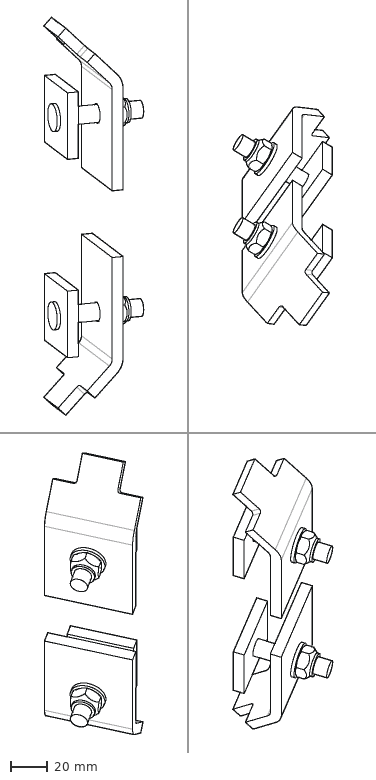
import cadquery as cq
import math

overall_height = 223.0
bolt_drop = 54.5
bolt_axis_z = overall_height / 2 - bolt_drop

bracket_width = 50.8
bracket_height = 92.3
sheet_thickness = 6.5
bend_angle = 45.0
bend_inner_radius = 5.5
arm_length = 36.0
tab_width = 23.6
tab_length = 17.5
tab_root_radius = 1.8
notch_overrun = 4.5
clearance_diameter = 11.0

plate_side = 38.3
plate_gap = 17.6
plate_back_y = -(sheet_thickness + plate_gap)
plate_front_y = plate_back_y - sheet_thickness

bolt_diameter = 10.0
bolt_end_y = 19.5
head_diameter = 15.5
head_height = 2.0

washer_diameter = 20.0
washer_thickness = 2.0
nut_across_flats = 16.0
hexagon_half_angle = 30.0
nut_across_corners = nut_across_flats / math.cos(math.radians(hexagon_half_angle))
nut_hex_height = 8.0
nut_cone_height = 3.0
nut_seat_bevel_angle = 30.0
collar_diameter = 13.5
collar_height = 1.3


def cylinder_along_y(diameter, start_y, end_y):
    """Round bar on the upper bolt axis, from start_y to end_y (start_y < end_y)."""
    base = cq.Workplane("XZ", origin=(0, start_y, bolt_axis_z))
    return base.circle(diameter / 2).extrude(start_y - end_y)


def bent_sheet():
    """Side outline of the bracket, swept straight across its width."""
    bend = math.radians(bend_angle)
    outer_radius = bend_inner_radius + sheet_thickness
    arm_run = arm_length * math.sin(bend)
    arm_rise = arm_length * math.cos(bend)
    bottom_z = overall_height / 2 - bracket_height
    bend_z = overall_height / 2 - arm_rise - outer_radius * math.sin(bend)

    def on_bend(radius, angle):
        return (-outer_radius + radius * math.cos(angle), bend_z + radius * math.sin(angle))

    def along_arm(start):
        return (start[0] - arm_run, start[1] + arm_rise)

    outer_bend_end = on_bend(outer_radius, bend)
    inner_bend_end = on_bend(bend_inner_radius, bend)
    return (
        cq.Workplane("YZ", origin=(-bracket_width / 2, 0, 0))
        .moveTo(0, bottom_z)
        .lineTo(0, bend_z)
        .threePointArc(on_bend(outer_radius, bend / 2), outer_bend_end)
        .lineTo(*along_arm(outer_bend_end))
        .lineTo(*along_arm(inner_bend_end))
        .lineTo(*inner_bend_end)
        .threePointArc(on_bend(bend_inner_radius, bend / 2), (-sheet_thickness, bend_z))
        .lineTo(-sheet_thickness, bottom_z)
        .close()
        .extrude(bracket_width)
    )


def corner_notches():
    """Two blocks that cut the arm's end corners away and leave the central tab."""
    bend = math.radians(bend_angle)
    outer_radius = bend_inner_radius + sheet_thickness
    outer_tip_y = -outer_radius * (1 - math.cos(bend)) - arm_length * math.sin(bend)
    tip_plane = cq.Plane(
        origin=(0, outer_tip_y, overall_height / 2),
        xDir=(1, 0, 0),
        normal=(0, -math.cos(bend), -math.sin(bend)),
    )
    notch_width = (bracket_width - tab_width) / 2 + notch_overrun
    notch_length = tab_length + notch_overrun
    notch_x = (tab_width + notch_width) / 2
    notch_y = notch_length / 2 - tab_length
    blocks = (
        cq.Workplane(tip_plane)
        .pushPoints([(-notch_x, notch_y), (notch_x, notch_y)])
        .rect(notch_width, notch_length)
        .extrude(sheet_thickness)
    )
    return blocks.edges(cq.selectors.ParallelDirSelector(tip_plane.zDir)).fillet(tab_root_radius)


def make_bracket():
    bracket = bent_sheet().cut(corner_notches())
    return bracket.cut(cylinder_along_y(clearance_diameter, -sheet_thickness, 0))


def make_plate():
    plate = (
        cq.Workplane("XZ", origin=(0, plate_back_y, bolt_axis_z))
        .rect(plate_side, plate_side)
        .extrude(sheet_thickness)
    )
    return plate.cut(cylinder_along_y(bolt_diameter, plate_front_y, plate_back_y))


def make_bolt():
    shank = cylinder_along_y(bolt_diameter, plate_front_y, bolt_end_y)
    head = cylinder_along_y(head_diameter, plate_front_y - head_height, plate_front_y)
    return shank.union(head)


def make_washer():
    washer = cylinder_along_y(washer_diameter, 0, washer_thickness)
    return washer.cut(cylinder_along_y(bolt_diameter, 0, washer_thickness))


def make_nut():
    """Hexagon with corners up and down, turned off at both ends below an outer collar."""
    hex_end_y = washer_thickness + nut_hex_height
    nut_end_y = hex_end_y + collar_height
    cone_run = (nut_across_corners - collar_diameter) / 2
    bevel_run = (nut_across_corners - nut_across_flats) / 2
    bevel_height = bevel_run * math.tan(math.radians(nut_seat_bevel_angle))
    hexagon = (
        cq.Workplane("XZ", origin=(0, washer_thickness, bolt_axis_z))
        .transformed(rotate=(0, 0, hexagon_half_angle))
        .polygon(6, nut_across_corners)
        .extrude(-nut_hex_height)
    )
    corner_radius = nut_across_corners / 2
    turned_profile = [
        (0, washer_thickness),
        (corner_radius - bevel_run, washer_thickness),
        (corner_radius, washer_thickness + bevel_height),
        (corner_radius, hex_end_y - nut_cone_height),
        (corner_radius - cone_run, hex_end_y),
        (0, hex_end_y),
    ]
    turned_blank = (
        cq.Workplane("XY", origin=(0, 0, bolt_axis_z))
        .polyline(turned_profile)
        .close()
        .revolve(360, (0, 0, 0), (0, 1, 0))
    )
    collar = cylinder_along_y(collar_diameter, hex_end_y, nut_end_y)
    nut = hexagon.intersect(turned_blank).union(collar)
    return nut.cut(cylinder_along_y(bolt_diameter, washer_thickness, nut_end_y))


bracket = make_bracket()
plate = make_plate()
bolt = make_bolt()
washer = make_washer()
nut = make_nut()

bodies = []
for upper_body in (bracket, plate, bolt, washer, nut):
    bodies.append(upper_body.val())
    bodies.append(upper_body.val().mirror("XY"))

result = cq.Compound.makeCompound(bodies)